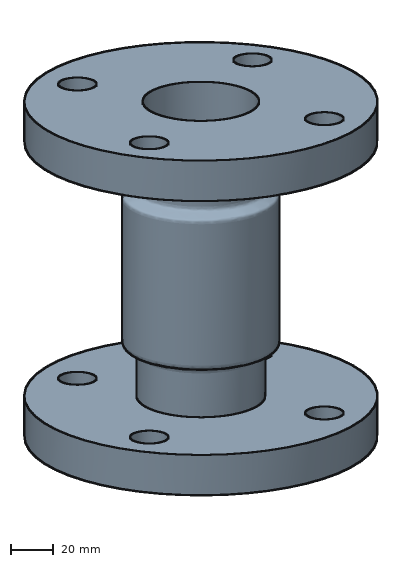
import cadquery as cq

length = 166.0
flange_diameter = 165.0
flange_thickness = 20.1
pipe_diameter = 60.3
bore_diameter = 54.5
body_diameter = 73.7
body_straight_length = 70.0
shoulder_height = 6.3
shoulder_handle = 4.8
bolt_hole_diameter = 18.0
bolt_circle_diameter = 125.0
bolt_count = 4
first_bolt_angle = 45


def cylinder(diameter, bottom, height):
    """Solid cylinder on the Z axis, starting at height `bottom`."""
    return cq.Workplane("XY").workplane(offset=bottom).circle(diameter / 2).extrude(height)


def make_half_body():
    """Upper half of the thick middle body, its S-shaped shoulder running smoothly into the pipe."""
    pipe_radius = pipe_diameter / 2
    body_radius = body_diameter / 2
    shoulder_start = body_straight_length / 2
    shoulder_end = shoulder_start + shoulder_height

    shoulder_curve = [
        (body_radius, shoulder_start),
        (body_radius, shoulder_start + shoulder_handle),
        (pipe_radius, shoulder_end - shoulder_handle),
        (pipe_radius, shoulder_end),
    ]
    return (
        cq.Workplane("XZ")
        .lineTo(body_radius, 0)
        .lineTo(body_radius, shoulder_start)
        .bezier(shoulder_curve)
        .lineTo(0, shoulder_end)
        .close()
        .revolve(360, (0, 0, 0), (0, 1, 0))
    )


half_body = make_half_body()
body = half_body.union(half_body.mirror("XY")).translate((0, 0, length / 2))

result = cylinder(pipe_diameter, 0, length).union(body)
for flange_bottom in (0, length - flange_thickness):
    result = result.union(cylinder(flange_diameter, flange_bottom, flange_thickness))

result = result.cut(cylinder(bore_diameter, 0, length))

bolt_holes = (
    cq.Workplane("XY")
    .polarArray(bolt_circle_diameter / 2, first_bolt_angle, 360, bolt_count)
    .circle(bolt_hole_diameter / 2)
    .extrude(length)
)
result = result.cut(bolt_holes)